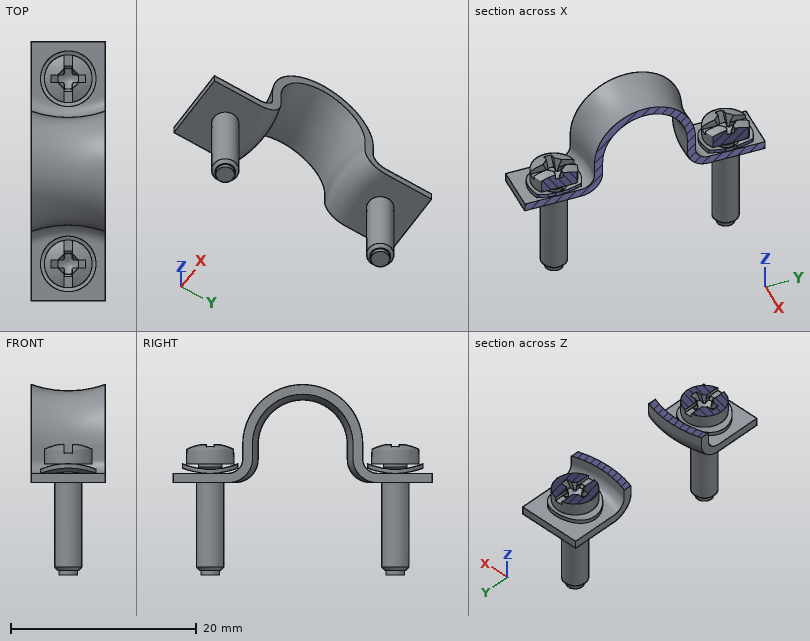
import cadquery as cq
import math

strap_length = 28.0
strap_width = 8.0
strap_thickness = 1.0
arch_centre_z = 4.12
arch_edge_radius = 6.5
waist_radius = 12.0
bend_radius = 1.5
screw_spacing = 20.0

half_length = strap_length / 2
half_width = strap_width / 2
waist_sag = waist_radius - math.sqrt(waist_radius**2 - half_width**2)
arch_waist_radius = arch_edge_radius - waist_sag
waist_axis = arch_waist_radius + waist_radius
inner_waist_radius = waist_radius + strap_thickness
outer_bend_radius = bend_radius + strap_thickness
bend_centre_z = outer_bend_radius

shank_radius = 1.48
shank_end_z = -10.0
tip_radius = 1.0
tip_length = 0.5
tip_chamfer_radius = 1.12
neck_radius = 1.3
neck_length = 0.3
head_radius = 2.58
head_base_z = 2.02
head_side_height = 1.6
head_edge_fillet = 0.08
dome_height = 0.62

head_shoulder_z = head_base_z + head_side_height
head_top_z = head_shoulder_z + dome_height
neck_end_z = head_base_z - neck_length

slot_width = 0.92
slot_floor_z = 3.2
cross_width = 0.85
cross_top_half_length = 2.05
cross_floor_half_length = 1.12
cross_floor_z = 2.8
cross_cone_depth = 0.5
corner_top_distance = 1.12
corner_floor_distance = 0.7

washer_radius = 3.0
washer_thickness = 0.45
washer_bow = 0.55

washer_bend_radius = (washer_radius**2 + washer_bow**2) / (2 * washer_bow)


def make_arch():
    """Half ring with a concave outer face and a parallel convex inner face."""
    inner_edge_radius = waist_axis - math.sqrt(inner_waist_radius**2 - half_width**2)
    ring = (
        cq.Workplane("XY")
        .moveTo(-half_width, inner_edge_radius)
        .lineTo(-half_width, arch_edge_radius)
        .threePointArc((0, arch_waist_radius), (half_width, arch_edge_radius))
        .lineTo(half_width, inner_edge_radius)
        .threePointArc((0, arch_waist_radius - strap_thickness), (-half_width, inner_edge_radius))
        .close()
        .revolve(180, (0, 0, 0), (1, 0, 0))
    )
    return ring.translate((0, 0, arch_centre_z))


def make_foot():
    """Leg, bend and flange on the +Y side; the leg and bend follow the waist curve."""
    bend_centre = waist_radius - bend_radius
    diagonal = math.sqrt(0.5)
    turned = (
        cq.Workplane("XZ")
        .moveTo(0, 0)
        .lineTo(bend_centre, 0)
        .threePointArc(
            (bend_centre + outer_bend_radius * diagonal, bend_centre_z - outer_bend_radius * diagonal),
            (inner_waist_radius, bend_centre_z),
        )
        .lineTo(inner_waist_radius, arch_centre_z)
        .lineTo(waist_radius, arch_centre_z)
        .lineTo(waist_radius, bend_centre_z)
        .threePointArc(
            (bend_centre + bend_radius * diagonal, bend_centre_z - bend_radius * diagonal),
            (bend_centre, strap_thickness),
        )
        .lineTo(0, strap_thickness)
        .close()
        .revolve(360, (0, 0, 0), (0, 1, 0))
        .translate((0, waist_axis, 0))
    )
    limits = cq.Workplane("XY").box(strap_width, half_length, arch_centre_z, centered=(True, False, False))
    return turned.intersect(limits)


def make_strap():
    foot = make_foot()
    strap = make_arch().union(foot).union(foot.mirror("XZ"))
    holes = (
        cq.Workplane("XY")
        .pushPoints([(0, -screw_spacing / 2), (0, screw_spacing / 2)])
        .circle(shank_radius)
        .extrude(strap_thickness)
    )
    return strap.cut(holes)


def make_screw_blank():
    """Turned screw: stepped tip, shank, reduced neck and domed head."""
    tip_top_z = shank_end_z + tip_length
    shank_bottom_z = tip_top_z + shank_radius - tip_chamfer_radius
    core_top_z = neck_end_z - (neck_radius - tip_radius)
    shank = (
        cq.Workplane("XZ")
        .moveTo(0, shank_end_z)
        .lineTo(tip_radius, shank_end_z)
        .lineTo(tip_radius, tip_top_z)
        .lineTo(tip_chamfer_radius, tip_top_z)
        .lineTo(shank_radius, shank_bottom_z)
        .lineTo(shank_radius, strap_thickness)
        .lineTo(tip_radius, strap_thickness)
        .lineTo(tip_radius, core_top_z)
        .lineTo(neck_radius, neck_end_z)
        .lineTo(neck_radius, head_base_z)
        .lineTo(0, head_base_z)
        .close()
        .revolve(360, (0, 0, 0), (0, 1, 0))
    )
    dome_radius = (head_radius**2 + dome_height**2) / (2 * dome_height)
    dome_mid_x = head_radius / 2
    dome_mid_z = head_top_z - dome_radius + math.sqrt(dome_radius**2 - dome_mid_x**2)
    head = (
        cq.Workplane("XZ")
        .moveTo(0, head_base_z)
        .lineTo(head_radius, head_base_z)
        .lineTo(head_radius, head_shoulder_z)
        .threePointArc((dome_mid_x, dome_mid_z), (0, head_top_z))
        .close()
        .revolve(360, (0, 0, 0), (0, 1, 0))
        .edges("%CIRCLE")
        .fillet(head_edge_fillet)
    )
    return shank.union(head)


def make_cross_floor_prism():
    """Straight prism below the arms with the cross-shaped floor as its outline."""
    floor_length = 2 * cross_floor_half_length
    corner_size = 2 * corner_floor_distance
    base = cq.Workplane("XY", origin=(0, 0, cross_floor_z - cross_cone_depth))
    arm_x = base.rect(floor_length, cross_width).extrude(cross_cone_depth)
    arm_y = base.rect(cross_width, floor_length).extrude(cross_cone_depth)
    corners = base.rect(corner_size, corner_size).extrude(cross_cone_depth)
    return arm_x.union(arm_y).union(corners.rotate((0, 0, 0), (0, 0, 1), 45))


def make_cross_recess():
    """Cross with sloping arm ends, broken inner corners and a conical bottom."""
    depth = head_top_z - cross_floor_z
    arm_x = (
        cq.Workplane("XZ")
        .polyline([
            (-cross_floor_half_length, cross_floor_z),
            (cross_floor_half_length, cross_floor_z),
            (cross_top_half_length, head_top_z),
            (-cross_top_half_length, head_top_z),
        ])
        .close()
        .extrude(cross_width / 2, both=True)
    )
    arm_y = arm_x.rotate((0, 0, 0), (0, 0, 1), 90)
    corners = (
        cq.Workplane("XY", origin=(0, 0, cross_floor_z))
        .rect(2 * corner_floor_distance, 2 * corner_floor_distance)
        .workplane(offset=depth)
        .rect(2 * corner_top_distance, 2 * corner_top_distance)
        .loft(ruled=True)
        .rotate((0, 0, 0), (0, 0, 1), 45)
    )
    cone = (
        cq.Workplane("XZ", origin=(0, 0, cross_floor_z))
        .polyline([(0, -cross_cone_depth), (cross_floor_half_length, 0), (0, 0)])
        .close()
        .revolve(360, (0, 0, 0), (0, 1, 0))
    )
    return arm_x.union(arm_y).union(corners).union(cone.intersect(make_cross_floor_prism()))


def make_screw():
    slot = (
        cq.Workplane("XY", origin=(0, 0, slot_floor_z))
        .rect(slot_width, 2 * head_radius)
        .extrude(head_top_z - slot_floor_z)
    )
    return make_screw_blank().cut(slot).cut(make_cross_recess())


def make_washer():
    """Bowed disc touching the flange along its middle line, with a clearance hole."""
    bend_axis_z = strap_thickness + washer_bend_radius
    shell = (
        cq.Workplane("YZ", origin=(-washer_radius, 0, 0))
        .center(0, bend_axis_z)
        .circle(washer_bend_radius)
        .circle(washer_bend_radius - washer_thickness)
        .extrude(2 * washer_radius)
    )
    outline = (
        cq.Workplane("XY")
        .circle(washer_radius)
        .circle(shank_radius)
        .extrude(bend_axis_z)
    )
    return shell.intersect(outline)


strap = make_strap()
screw = make_screw()
washer = make_washer()

screws = []
washers = []
for side in (-1, 1):
    place = (0, side * screw_spacing / 2, 0)
    screws.append(screw.translate(place).val())
    washers.append(washer.translate(place).val())

result = cq.Compound.makeCompound([strap.val(), *screws, *washers])